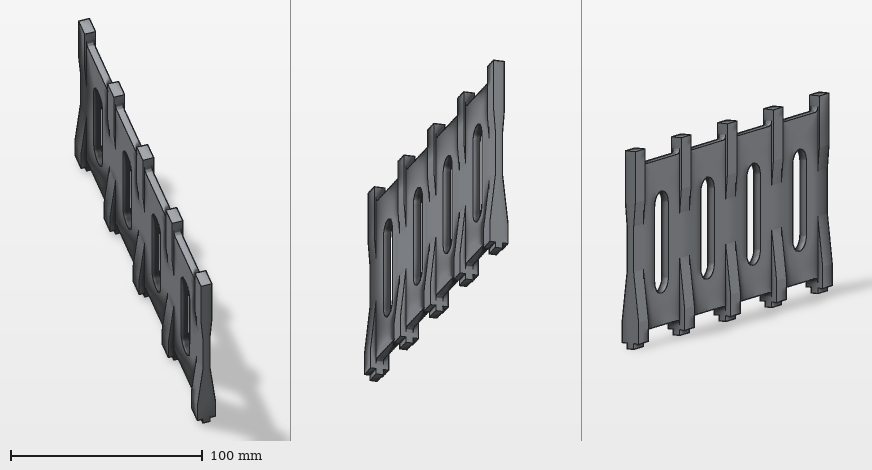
import cadquery as cq

length = 200.0
height = 105.0

rib_count = 5
rib_width = 10.0
rib_pitch = (length - rib_width) / (rib_count - 1)

plate_thickness = 4.0
edge_gap = 8.5
corner_radius = 2.5

foot_thickness = 10.0
head_thickness = 6.0
tongue_height = 3.0
foot_taper_start = 14.5
foot_taper_end = 41.0
head_taper_start = 65.0
head_taper_end = 77.5

slot_width = 14.0
slot_height = 54.0

rib_centers = [i * rib_pitch - (length - rib_width) / 2 for i in range(rib_count)]
bay_centers = [x + rib_pitch / 2 for x in rib_centers[:-1]]


def plate_block(width, block_height):
    """Block of plate thickness, centred on X and Y and standing on Z = 0."""
    return cq.Workplane("XY").rect(width, plate_thickness).extrude(block_height)


def make_plate():
    """Plate with full-height strips at the ribs and rounded inner corners beside them."""
    plate = plate_block(length, height)
    gap_width = rib_pitch - rib_width
    lower_gap = plate_block(gap_width, edge_gap).edges("|Y and >Z").fillet(corner_radius)
    upper_gap = lower_gap.mirror("XY").translate((0, 0, height))
    slot = (
        cq.Workplane("XZ", origin=(0, 0, height / 2))
        .slot2D(slot_height, slot_width, 90)
        .extrude(plate_thickness, both=True)
    )
    for x in bay_centers:
        for cutter in (lower_gap, upper_gap, slot):
            plate = plate.cut(cutter.translate((x, 0, 0)))
    return plate


def make_rib():
    """Rib centred on X: narrow tongue, wide tapered foot, thin waist and thicker head."""
    half_profile = [
        (plate_thickness / 2, 0),
        (plate_thickness / 2, tongue_height),
        (foot_thickness / 2, tongue_height),
        (foot_thickness / 2, foot_taper_start),
        (plate_thickness / 2, foot_taper_end),
        (plate_thickness / 2, head_taper_start),
        (head_thickness / 2, head_taper_end),
        (head_thickness / 2, height),
    ]
    other_half = [(-y, z) for y, z in reversed(half_profile)]
    profile = cq.Workplane("YZ").polyline(half_profile + other_half).close()
    return profile.extrude(rib_width / 2, both=True)


result = make_plate()
rib = make_rib()
for x in rib_centers:
    result = result.union(rib.translate((x, 0, 0)))